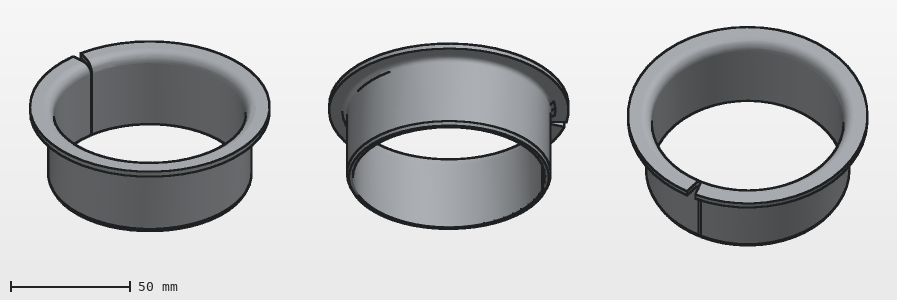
import cadquery as cq

height = 35.0
flange_radius = 50.0
bore_radius = 40.0
wall = 2.5
outer_bend_radius = 2.0
inner_bend_radius = outer_bend_radius + wall
chamfer_width = 0.8
chamfer_height = 1.7
bore_edge_radius = 0.4

slit_bore_width = 0.4
slit_rim_width = 3.9

sleeve_radius = bore_radius + wall
flange_bottom = height - wall
bend_start = flange_bottom - outer_bend_radius


def bushing_body():
    """Revolve the wall section, which bends outward into the flange."""
    section = (
        cq.Workplane("XZ")
        .moveTo(bore_radius + bore_edge_radius, 0)
        .lineTo(sleeve_radius - chamfer_width, 0)
        .lineTo(sleeve_radius, chamfer_height)
        .lineTo(sleeve_radius, bend_start)
        .radiusArc((sleeve_radius + outer_bend_radius, flange_bottom), outer_bend_radius)
        .lineTo(flange_radius, flange_bottom)
        .lineTo(flange_radius, height)
        .lineTo(bore_radius + inner_bend_radius, height)
        .radiusArc((bore_radius, height - inner_bend_radius), -inner_bend_radius)
        .lineTo(bore_radius, bore_edge_radius)
        .radiusArc((bore_radius + bore_edge_radius, 0), -bore_edge_radius)
        .close()
    )
    return section.revolve(360, (0, 0, 0), (0, 1, 0))


def slit_cutter():
    """Full-height wedge, extended past the bore and the rim at the same taper."""
    overrun = 0.2
    taper = (slit_rim_width - slit_bore_width) / (flange_radius - bore_radius)
    inner_half = (slit_bore_width - taper * overrun) / 2
    outer_half = (slit_rim_width + taper * overrun) / 2
    inner_x = -(bore_radius - overrun)
    outer_x = -(flange_radius + overrun)
    outline = [
        (inner_x, -inner_half),
        (inner_x, inner_half),
        (outer_x, outer_half),
        (outer_x, -outer_half),
    ]
    return cq.Workplane("XY").polyline(outline).close().extrude(height)


result = bushing_body().cut(slit_cutter())